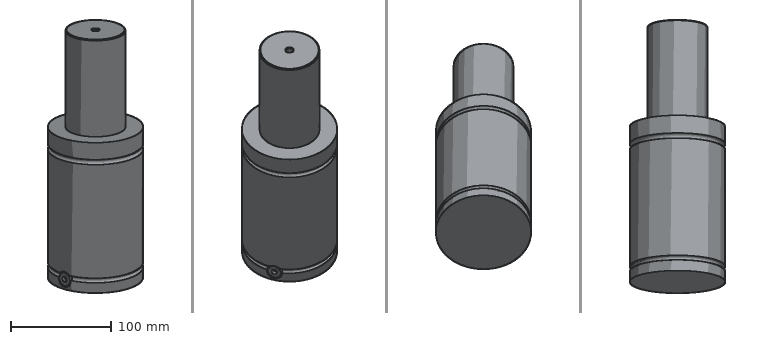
import cadquery as cq

total_height = 262.0
body_diameter = 95.0
body_height = 159.3
rod_diameter = 60.0
rod_chamfer = 1.0

body_radius = body_diameter / 2

upper_groove_z = 138.5
upper_groove_radius = 2.5
lower_groove_z = 13.4
lower_groove_radius = 2.4

rod_hole_diameter = 6.8
rod_hole_mouth_diameter = 8.5
rod_hole_depth = 13.0
drill_tip_height = 2.0

plug_z = 10.5
plug_bore_diameter = 16.0
plug_diameter = 14.0
plug_gap_depth = 4.7
plug_face_y = -47.2
plug_length = 7.9
plug_hole_diameter = 5.8
plug_hole_depth = 4.0


def cylinder_with_rod():
    body = cq.Workplane("XY").circle(body_radius).extrude(body_height)
    rod = cq.Workplane("XY").circle(rod_diameter / 2).extrude(total_height)
    return body.union(rod.faces(">Z").chamfer(rod_chamfer))


def ring_groove(z, radius):
    return cq.Workplane("XY").add(cq.Solid.makeTorus(body_radius, radius, cq.Vector(0, 0, z)))


def rod_end_hole():
    radius = rod_hole_diameter / 2
    mouth_radius = rod_hole_mouth_diameter / 2
    mouth_z = total_height - (mouth_radius - radius)
    bottom_z = total_height - rod_hole_depth
    return (
        cq.Workplane("XZ")
        .moveTo(0, total_height)
        .lineTo(mouth_radius, total_height)
        .lineTo(radius, mouth_z)
        .lineTo(radius, bottom_z)
        .lineTo(0, bottom_z - drill_tip_height)
        .close()
        .revolve(360, (0, 0, 0), (0, 1, 0))
    )


def radial_cylinder(diameter, outer_y, length):
    """Cylinder along Y at plug height, running inward from outer_y."""
    return cq.Workplane("XZ", origin=(0, outer_y, plug_z)).circle(diameter / 2).extrude(-length)


def filling_plug():
    plug = radial_cylinder(plug_diameter, plug_face_y, plug_length)
    return plug.cut(radial_cylinder(plug_hole_diameter, plug_face_y, plug_hole_depth))


result = (
    cylinder_with_rod()
    .cut(ring_groove(upper_groove_z, upper_groove_radius))
    .cut(ring_groove(lower_groove_z, lower_groove_radius))
    .cut(rod_end_hole())
    .cut(radial_cylinder(plug_bore_diameter, -body_radius, plug_gap_depth))
    .union(filling_plug())
)